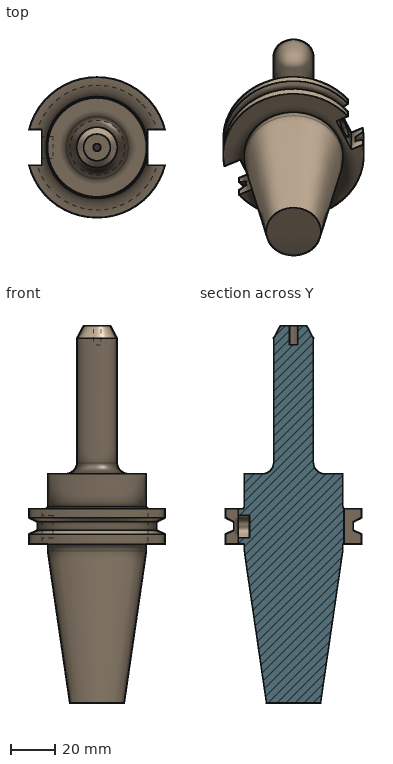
import cadquery as cq

total_height = 169.8
taper_height = 68.5
flange_bottom = 71.5
flange_top = 87.5
groove_lower_lip = 76.1
groove_root_bottom = 77.8
groove_root_top = 81.5
groove_upper_lip = 83.4
collar_top = 103.3
tip_height = 5.8

body_diameter = 44.5
taper_ratio = 7 / 24
flange_diameter = 63.4
groove_root_diameter = 56.2
shank_diameter = 18.2
tip_diameter = 12.0

collar_flare = 0.7
flare_height = 0.8
shank_fillet = 5.0

slot_width = 16.0
slot_floor_left = 25.0
slot_floor_right = 22.8

side_hole_diameter = 10.0
side_hole_depth = 5.1
tip_hole_diameter = 3.4
tip_hole_depth = 8.5


def make_body():
    """Revolve the taper, grooved flange, collar and shank about Z."""
    body_radius = body_diameter / 2
    taper_end_radius = body_radius - taper_height * taper_ratio / 2
    flange_radius = flange_diameter / 2
    root_radius = groove_root_diameter / 2
    shank_radius = shank_diameter / 2
    arc_offset = shank_fillet * (1 - 0.5**0.5)
    profile = (
        cq.Workplane("XZ")
        .moveTo(0, 0)
        .lineTo(taper_end_radius, 0)
        .lineTo(body_radius, taper_height)
        .lineTo(body_radius, flange_bottom)
        .lineTo(flange_radius, flange_bottom)
        .lineTo(flange_radius, groove_lower_lip)
        .lineTo(root_radius, groove_root_bottom)
        .lineTo(root_radius, groove_root_top)
        .lineTo(flange_radius, groove_upper_lip)
        .lineTo(flange_radius, flange_top)
        .lineTo(body_radius + collar_flare, flange_top)
        .lineTo(body_radius, flange_top + flare_height)
        .lineTo(body_radius, collar_top)
        .lineTo(shank_radius + shank_fillet, collar_top)
        .threePointArc(
            (shank_radius + arc_offset, collar_top + arc_offset),
            (shank_radius, collar_top + shank_fillet),
        )
        .lineTo(shank_radius, total_height - tip_height)
        .lineTo(tip_diameter / 2, total_height)
        .lineTo(0, total_height)
        .close()
    )
    return profile.revolve(360, (0, 0, 0), (0, 1, 0))


def make_slot(side, floor_distance):
    """Slot through the flange height; side is -1 for -X or +1 for +X."""
    slot_length = flange_diameter
    return cq.Workplane("XY").box(
        slot_length, slot_width, flange_top - flange_bottom, centered=(True, True, False)
    ).translate((side * (floor_distance + slot_length / 2), 0, flange_bottom))


def make_side_hole():
    """Blind hole running +X from the floor of the -X slot."""
    hole_height = (flange_bottom + flange_top) / 2
    return (
        cq.Workplane("YZ", origin=(-slot_floor_left, 0, hole_height))
        .circle(side_hole_diameter / 2)
        .extrude(side_hole_depth)
    )


def make_tip_hole():
    """Blind hole down the axis from the end of the shank."""
    return (
        cq.Workplane("XY", origin=(0, 0, total_height))
        .circle(tip_hole_diameter / 2)
        .extrude(-tip_hole_depth)
    )


result = (
    make_body()
    .cut(make_slot(-1, slot_floor_left))
    .cut(make_slot(1, slot_floor_right))
    .cut(make_side_hole())
    .cut(make_tip_hole())
)